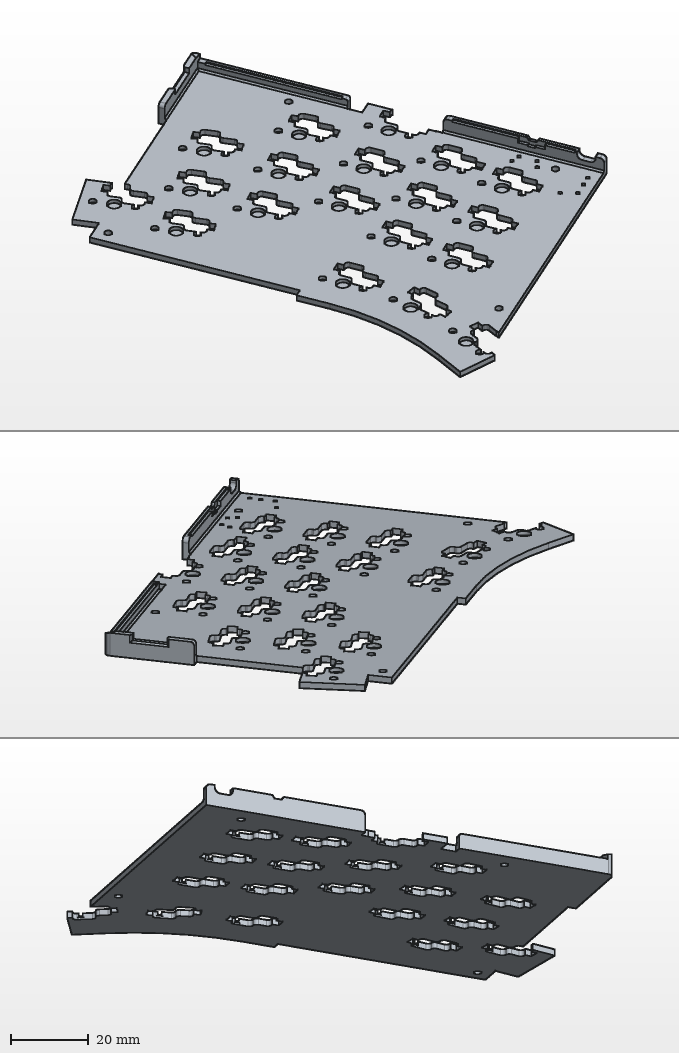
import cadquery as cq
import math


plate_length = 112.6
plate_width = 74.6
plate_thickness = 1.8

key_pitch = 18.0
row_pitch = 17.0
cell_length = 18.4
cell_width = row_pitch

finger_columns = [
    (16.8, 27.5, 10),
    (35.2, 42.8, 4),
    (54.7, 53.0, 0),
    (72.7, 44.7, 0),
    (90.7, 41.9, 0),
]
outer_key_rise = 7.6

thumb_x = 67.7
thumb_y = 6.8
thumb_arc_radius = 77.1
thumb_step = 15
thumb_count = 3
thumb_margin = 9.0

post_radius = 1.9
pin_radius = 1.0
pin_offset = 5.6
blind_depth = 1.1

socket_length = 5.3
socket_height = 5.8
left_block_corner = (-2.6, 3.0)
right_block_corner = (1.6, 0.9)
right_block_length = 6.0
right_block_height = 5.5
socket_rounding = 1.0
tab_width = 2.6
left_tab_end = -4.4
left_tab_bottom = 4.6
right_tab_end = 9.4
right_tab_bottom = 2.4
long_tab_end = 10.3

wall_reach = 2.3
wall_foot = 0.5
wall_rear_y = plate_width + wall_reach
wall_front_y = plate_width + wall_foot
lip_thickness = 0.9

side_wall_front = 52.5
side_wall_height = 6.4
side_wall_rounding = 1.0
wall_corner_rounding = 1.6
corner_slope_start = 75.2
corner_slope_angle = 20
corner_slope_turn = 35
corner_slope_run = 3.8
side_notch_start = 59.4
side_notch_end = 69.8
side_notch_floor = 4.3
side_notch_bevel = 0.5

left_wall_end = 41.3
left_wall_height = 4.3
left_wall_rounding = 0.8
left_recess_start = 1.6
left_recess_end = 39.5

right_wall_start = 67.8
right_wall_height = 6.0
right_wall_rounding = 1.3
right_recess_start = 70.3
right_recess_end = 104.4
recess_depth = 0.4

slider_x = 92.3
slider_pocket_length = 7.5
slider_pocket_floor = 4.3
slider_groove_length = 2.0
slider_groove_floor = 3.9
slider_notch_top = 3.3
slider_notch_bottom = 2.0
slider_notch_floor = 5.1

cable_notch_x = 107.6
cable_notch_length = 5.1
cable_notch_floor = 3.9
cable_notch_rounding = 1.5

screw_hole_radius = 1.0
screw_holes = [(26.3, 71.6), (100.5, 71.6), (108.9, 12.4), (3.8, 3.5)]
leg_hole_radius = 0.5
slider_leg_holes = [(slider_x - 2.5, 72.8), (slider_x + 2.5, 72.8), (slider_x - 3.5, 70.5), (slider_x + 3.5, 70.5)]
jack_leg_holes = [(109.6, 71.3), (109.6, 68.3), (109.6, 64.5), (105.4, 62.8)]


def box(x0, x1, y0, y1, z0, z1):
    return cq.Workplane("XY").box(x1 - x0, y1 - y0, z1 - z0, centered=False).translate((x0, y0, z0))


def place(solid, key):
    x, y, tilt = key
    return solid.rotate((0, 0, 0), (0, 0, 1), tilt).translate((x, y, 0))


def column_key(column, across, along):
    """Key place reached by moving across and along a tilted column."""
    x, y, tilt = column
    c = math.cos(math.radians(tilt))
    s = math.sin(math.radians(tilt))
    return (x + across * c - along * s, y + across * s + along * c, tilt)


def thumb_key(index):
    turn = math.radians(index * thumb_step)
    x = thumb_x + thumb_arc_radius * math.sin(turn)
    y = thumb_y - thumb_arc_radius * (1 - math.cos(turn))
    return (x, y, -index * thumb_step)


finger_keys = [column_key(c, 0, row * row_pitch) for c in finger_columns for row in (-1, 0, 1)]
outer_key = column_key(finger_columns[0], -key_pitch, outer_key_rise - row_pitch)
top_key = column_key(finger_columns[2], 0, row_pitch)
long_tab_key = column_key(finger_columns[3], 0, row_pitch)
thumb_keys = [thumb_key(i) for i in range(thumb_count)]
last_thumb = thumb_keys[-1]


def cell():
    return cq.Workplane("XY").rect(cell_length, cell_width).extrude(plate_thickness)


def thumb_area():
    """Area around the thumb keys, bounded below by an arc concentric with the key arc."""
    radius = thumb_arc_radius - thumb_margin
    centre_y = thumb_y - thumb_arc_radius

    def arc_point(degrees):
        turn = math.radians(degrees)
        return (thumb_x + radius * math.sin(turn), centre_y + radius * math.cos(turn))

    sweep = thumb_step * (thumb_count - 1)
    left = thumb_x - cell_length / 2
    corner = column_key(last_thumb, thumb_margin, -thumb_margin)[:2]
    upper = column_key(last_thumb, thumb_margin, cell_width / 2)[:2]
    inner = column_key(last_thumb, -thumb_margin, cell_width / 2)[:2]
    return (
        cq.Workplane("XY")
        .moveTo(left, thumb_y - thumb_margin)
        .lineTo(*arc_point(0))
        .threePointArc(arc_point(sweep / 2), arc_point(sweep))
        .lineTo(*corner)
        .lineTo(*upper)
        .lineTo(*inner)
        .lineTo(left, inner[1])
        .close()
        .extrude(plate_thickness)
    )


def right_tab(end):
    start = right_block_corner[0] + socket_rounding
    return box(start, end, right_tab_bottom, right_tab_bottom + tab_width, 0, plate_thickness)


def socket():
    lx, ly = left_block_corner
    rx, ry = right_block_corner
    t = plate_thickness
    blocks = box(lx, lx + socket_length, ly, ly + socket_height, 0, t)
    blocks = blocks.union(box(rx, rx + right_block_length, ry, ry + right_block_height, 0, t))
    blocks = blocks.edges("|Z").fillet(socket_rounding)
    left_tab = box(left_tab_end, 0, left_tab_bottom, left_tab_bottom + tab_width, 0, t)
    return blocks.union(left_tab).union(right_tab(right_tab_end))


def blind_holes(points, radius):
    floor = cq.Workplane("XY").workplane(offset=plate_thickness - blind_depth)
    return floor.pushPoints(points).circle(radius).extrude(blind_depth)


switch_cutter = socket().union(blind_holes([(0, 0)], post_radius))
switch_cutter = switch_cutter.union(blind_holes([(-pin_offset, 0), (pin_offset, 0)], pin_radius))
corner_notch = box(1.3, 11.3, 4.4, 8.9, 0, plate_thickness)

plate = box(0, plate_length, 0, plate_width, 0, plate_thickness)
plate = plate.union(place(cell(), outer_key)).union(place(cell(), top_key)).union(thumb_area())
for key in finger_keys + [outer_key] + thumb_keys:
    plate = plate.cut(place(switch_cutter, key))
plate = plate.cut(place(right_tab(long_tab_end), long_tab_key))
for key in (top_key, last_thumb):
    plate = plate.cut(place(corner_notch, key))
plate = plate.cut(
    cq.Workplane("XY").pushPoints(screw_holes).circle(screw_hole_radius).extrude(plate_thickness)
)
plate = plate.cut(blind_holes(slider_leg_holes + jack_leg_holes, leg_hole_radius))


def foot_profile(plane):
    """Bevelled foot in the gap between plate edge and wall, measured outward from the plate edge."""
    return (
        cq.Workplane(plane)
        .lineTo(0, plate_thickness)
        .lineTo(wall_foot, plate_thickness + wall_foot)
        .lineTo(wall_foot, 0)
        .close()
    )


def rear_wall(x0, x1, height):
    wall = box(x0, x1, wall_front_y, wall_rear_y, 0, height)
    foot = foot_profile("YZ").extrude(x1 - x0).translate((x0, plate_width, 0))
    return wall, foot


def recess(x0, x1, floor, top):
    """Pocket in the inner part of a rear wall, leaving its outer lip."""
    return box(x0, x1, wall_front_y, wall_rear_y - lip_thickness, floor, top)


def left_rear_wall():
    wall, foot = rear_wall(-wall_foot, left_wall_end, left_wall_height)
    wall = wall.edges("|Y and >X and >Z").fillet(left_wall_rounding)
    floor = left_wall_height - recess_depth
    return wall.cut(recess(left_recess_start, left_recess_end, floor, left_wall_height)).union(foot)


def right_rear_wall():
    top = right_wall_height
    wall, foot = rear_wall(right_wall_start, plate_length, top)
    wall = wall.edges("|Y and >Z").fillet(right_wall_rounding)
    wall = wall.cut(recess(right_recess_start, right_recess_end, top - recess_depth, top))

    half_pocket = slider_pocket_length / 2
    half_groove = slider_groove_length / 2
    wall = wall.cut(recess(slider_x - half_pocket, slider_x + half_pocket, slider_pocket_floor, top))
    wall = wall.cut(recess(slider_x - half_groove, slider_x + half_groove, slider_groove_floor, top))
    slider_notch = (
        cq.Workplane("XZ", origin=(slider_x, wall_rear_y, 0))
        .moveTo(-slider_notch_bottom / 2, slider_notch_floor)
        .lineTo(slider_notch_bottom / 2, slider_notch_floor)
        .lineTo(slider_notch_top / 2, top)
        .lineTo(-slider_notch_top / 2, top)
        .close()
        .extrude(wall_reach)
    )

    half_cable = cable_notch_length / 2
    cable_notch = box(
        cable_notch_x - half_cable, cable_notch_x + half_cable, wall_front_y, wall_rear_y, cable_notch_floor, top
    )
    cable_notch = cable_notch.edges("|Y and <Z").fillet(cable_notch_rounding)
    return wall.cut(slider_notch).cut(cable_notch).union(foot)


def side_wall():
    top = side_wall_height
    wall = box(-wall_reach, -wall_foot, side_wall_front, wall_rear_y, 0, top)
    wall = wall.edges("|Z and <X and >Y").fillet(wall_corner_rounding)
    wall = wall.edges("|X and <Y and >Z").fillet(side_wall_rounding)

    run = corner_slope_run
    drop = run * math.tan(math.radians(corner_slope_angle))
    corner_slope = cq.Workplane("YZ").lineTo(run, 0).lineTo(run, -drop).close().extrude(run, both=True)
    corner_slope = corner_slope.rotate((0, 0, 0), (0, 0, 1), -corner_slope_turn)
    corner_slope = corner_slope.translate((-wall_reach, corner_slope_start, top))

    bevel = side_notch_bevel
    notch = box(
        -wall_reach, -wall_foot, side_notch_start + bevel, side_notch_end - bevel, side_notch_floor + bevel, top
    )
    notch_bevel = (
        cq.Workplane("YZ", origin=(-wall_reach, 0, 0))
        .moveTo(side_notch_start, side_notch_floor)
        .lineTo(side_notch_end, side_notch_floor)
        .lineTo(side_notch_end, top + bevel)
        .lineTo(side_notch_start, top + bevel)
        .close()
        .extrude(bevel, taper=45)
    )
    foot_length = wall_front_y - side_wall_front
    foot = foot_profile("XZ").extrude(foot_length).mirror("YZ").translate((0, wall_front_y, 0))
    return wall.cut(corner_slope).cut(notch).cut(notch_bevel).union(foot)


result = plate.union(left_rear_wall()).union(right_rear_wall()).union(side_wall())